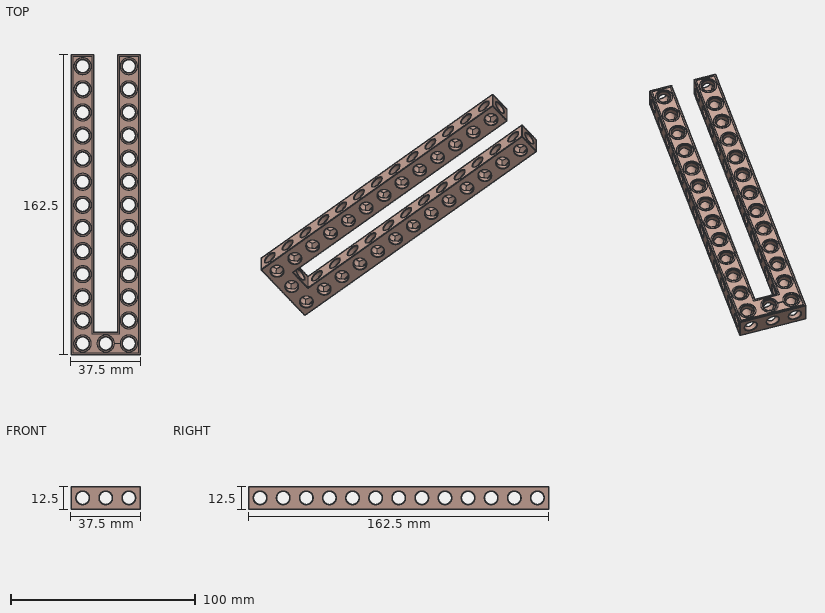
import cadquery as cq

length = 162.5
columns = 3
rows = 13
hole_diameter = 7.0
ring_diameter = 9.3
rim_width = 1.1
recess_depth = 0.2
rib_width = 0.25
edge_chamfer = 0.3

pitch = length / rows
width = columns * pitch
height = pitch
slot_width = pitch
slot_length = length - pitch


def centered_positions(count):
    """Positions one pitch apart, centered on zero."""
    return [(i - (count - 1) / 2) * pitch for i in range(count)]


column_xs = centered_positions(columns)
row_ys = centered_positions(rows)
crossbar_y = row_ys[0]
arm_xs = [column_xs[0], column_xs[-1]]

vertical_hole_centers = [(x, y) for x in arm_xs for y in row_ys] + [(0, crossbar_y)]


def fork_outline(inset):
    """U-shaped outline, open toward +Y, with every side moved into the material by inset."""
    outer_x = width / 2 - inset
    slot_x = slot_width / 2 + inset
    front_y = -length / 2 + inset
    back_y = length / 2 - inset
    slot_end_y = length / 2 - slot_length - inset
    return [
        (-outer_x, front_y),
        (outer_x, front_y),
        (outer_x, back_y),
        (slot_x, back_y),
        (slot_x, slot_end_y),
        (-slot_x, slot_end_y),
        (-slot_x, back_y),
        (-outer_x, back_y),
    ]


def make_fork():
    """Fork centered on the origin, chamfered on all edges except the inner corners of the slot."""
    base = cq.Workplane("XY").workplane(offset=-height / 2)
    fork = base.polyline(fork_outline(0)).close().extrude(height)
    return fork.edges("(|Z and (<Y or >Y)) or #Z").chamfer(edge_chamfer)


def drill(body, plane, centers):
    """Cut round holes through the whole body along the normal of the plane."""
    holes = cq.Workplane(plane).pushPoints(centers).circle(hole_diameter / 2).extrude(length, both=True)
    return body.cut(holes)


def make_top_recess():
    """Shallow recess inside the rim, leaving a ring around each vertical hole and a thin rib."""
    floor = cq.Workplane("XY").workplane(offset=height / 2 - recess_depth)
    pocket = floor.polyline(fork_outline(rim_width)).close().extrude(recess_depth)
    rings = floor.pushPoints(vertical_hole_centers).circle(ring_diameter / 2).extrude(recess_depth)
    rib = floor.center(pitch / 2, crossbar_y).rect(pitch, rib_width).extrude(recess_depth)
    return pocket.cut(rings).cut(rib)


result = make_fork()
result = drill(result, "XY", vertical_hole_centers)
result = drill(result, "YZ", [(y, 0) for y in row_ys])
result = drill(result, "XZ", [(x, 0) for x in column_xs])

result = result.edges("%CIRCLE").chamfer(edge_chamfer)
result = result.cut(make_top_recess())